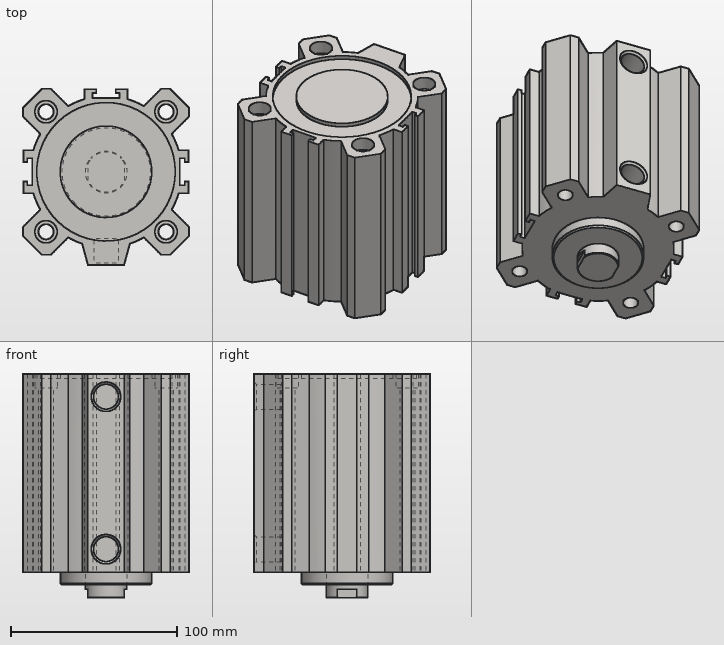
import cadquery as cq
import math

overall_width = 100.0
overall_depth = 106.0

total_height = 134.5
barrel_bottom = 15.2
collar_bottom = 7.8
barrel_height = total_height - barrel_bottom

barrel_radius = 45.6
lug_width = 23.7
lug_reach = 62.5

bolt_offset = 36.0
bolt_diameter = 9.0
counterbore_diameter = 13.5
counterbore_depth = 8.5

rail_angles = (0, 90, 180)
rail_width = 26.1
rail_face = 49.6
slot_mouth_width = 11.5
slot_inner_width = 16.1
slot_lip = 2.4
slot_depth = 5.2

port_face = overall_depth - overall_width / 2
port_face_width = 21.8
port_root_width = 28.8
port_root_distance = math.sqrt(barrel_radius**2 - (port_root_width / 2)**2)
port_heights = (29.2, 120.8)
port_diameter = 14.9
port_mouth_diameter = 17.8
port_mouth_depth = 1.3
port_depth = 16.1

recess_diameter = 83.3
boss_diameter = 55.0
recess_depth = 2.5
collar_chamfer = 1.0

rod_diameter = 25.0
rod_across_flats = 22.0
flat_height = 5.1
rod_chamfer = 0.4


def barrel_prism(profile):
    """Extrude a closed profile over the full height of the barrel."""
    return profile.extrude(barrel_height)


def barrel_plane():
    """Workplane on the bottom face of the barrel."""
    return cq.Workplane("XY", origin=(0, 0, barrel_bottom))


def corner_lugs():
    """Diagonal cross of four lugs, with corners trimmed by the square envelope."""
    diagonal = barrel_prism(barrel_plane().rect(2 * lug_reach, lug_width))
    cross = diagonal.rotate((0, 0, 0), (0, 0, 1), 45)
    cross = cross.union(diagonal.rotate((0, 0, 0), (0, 0, 1), -45))
    envelope = barrel_prism(barrel_plane().rect(overall_width, overall_width))
    return cross.intersect(envelope)


def radial_bar(start, end, width):
    """Full-height bar along +X, from distance start to distance end from the axis."""
    return barrel_prism(barrel_plane().center((start + end) / 2, 0).rect(end - start, width))


def sensor_rail():
    """Solid rail on +X, before its slot is cut."""
    return radial_bar(0, rail_face, rail_width)


def sensor_slot():
    """Cutter for the T-slot in the +X rail."""
    floor = rail_face - slot_depth
    undercut = radial_bar(floor, rail_face - slot_lip, slot_inner_width)
    mouth = radial_bar(floor, rail_face, slot_mouth_width)
    return undercut.union(mouth)


def port_block():
    """Block on -Y that narrows from the barrel wall to the port face."""
    profile = barrel_plane().polyline([
        (0, 0),
        (-port_root_width / 2, -port_root_distance),
        (-port_face_width / 2, -port_face),
        (port_face_width / 2, -port_face),
        (port_root_width / 2, -port_root_distance),
    ]).close()
    return barrel_prism(profile)


def port_hole(height):
    """Blind port bored along +Y with a wider mouth tapering into it."""
    half_mouth = port_mouth_diameter / 2
    half_bore = port_diameter / 2
    profile = cq.Workplane("XY", origin=(0, 0, height)).polyline([
        (0, -port_face),
        (half_mouth, -port_face),
        (half_bore, -port_face + port_mouth_depth),
        (half_bore, -port_face + port_depth),
        (0, -port_face + port_depth),
    ]).close()
    return profile.revolve(360, (0, 0, 0), (0, 1, 0))


def cut_bolt_holes(body):
    """Drill the four lugs through, with counterbores from the top face."""
    return (
        body.faces(">Z").workplane(origin=(0, 0, total_height))
        .rect(2 * bolt_offset, 2 * bolt_offset, forConstruction=True)
        .vertices()
        .cboreHole(bolt_diameter, counterbore_diameter, counterbore_depth)
    )


def end_recess():
    """Annular recess that leaves a central boss flush with the top face."""
    return (
        cq.Workplane("XY", origin=(0, 0, total_height - recess_depth))
        .circle(recess_diameter / 2)
        .circle(boss_diameter / 2)
        .extrude(recess_depth)
    )


def bottom_collar():
    """Collar below the barrel, chamfered at its lower rim."""
    collar = (
        cq.Workplane("XY", origin=(0, 0, collar_bottom))
        .circle(boss_diameter / 2)
        .extrude(barrel_bottom - collar_bottom)
    )
    return collar.faces("<Z").edges().chamfer(collar_chamfer)


def rod_socket():
    """Round seat for the rod, through the collar."""
    return (
        cq.Workplane("XY", origin=(0, 0, collar_bottom))
        .circle(rod_diameter / 2)
        .extrude(barrel_bottom - collar_bottom)
    )


def make_housing():
    """Barrel with its lugs, rails, ports, end recess and collar."""
    body = barrel_prism(barrel_plane().circle(barrel_radius))
    body = body.union(corner_lugs()).union(port_block())
    for angle in rail_angles:
        body = body.union(sensor_rail().rotate((0, 0, 0), (0, 0, 1), angle))
    for angle in rail_angles:
        body = body.cut(sensor_slot().rotate((0, 0, 0), (0, 0, 1), angle))
    for height in port_heights:
        body = body.cut(port_hole(height))
    body = cut_bolt_holes(body)
    body = body.cut(end_recess())
    body = body.union(bottom_collar())
    return body.cut(rod_socket()).solids()


def make_rod():
    """Rod seated in the collar, with two wrench flats facing -X and +X at its free end."""
    rod = cq.Workplane("XY").circle(rod_diameter / 2).extrude(barrel_bottom)
    rod = rod.faces("<Z").edges().chamfer(rod_chamfer)
    flat_zone = cq.Workplane("XY").rect(2 * rod_diameter, 2 * rod_diameter).extrude(flat_height)
    between_flats = cq.Workplane("XY").rect(rod_across_flats, 2 * rod_diameter).extrude(flat_height)
    return rod.cut(flat_zone.cut(between_flats)).solids()


housing = make_housing()
rod = make_rod()

result = cq.Compound.makeCompound([housing.val(), rod.val()])